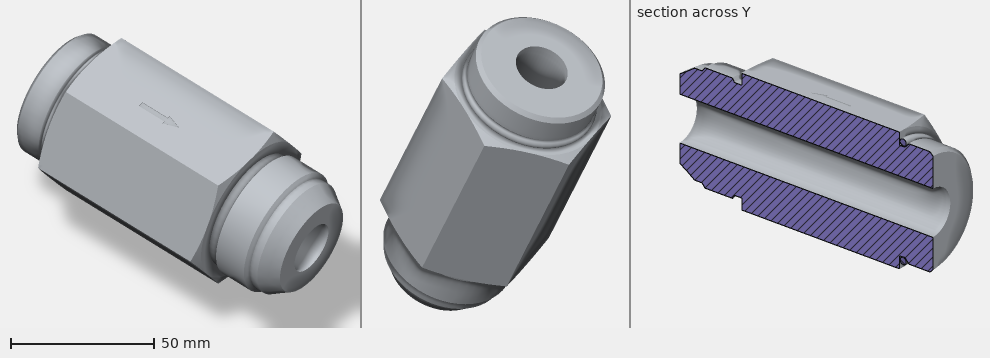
import cadquery as cq
import math

length = 113.5
port_chamfer = 1.5
port_land_end = 10.9
hex_start = 15.0
hex_end = 85.8
neck_end = 89.0
thread_start = 89.9
thread_end = 102.3
nose_start = 103.7
cone_start = 107.0

hex_flats = 53.9
hex_corners = hex_flats / math.cos(math.radians(30))
thread_diameter = 47.6
neck_diameter = 44.6
nose_diameter = 44.3
nose_tip_diameter = 35.4
bore_diameter = 19.1

hex_chamfer_diameter = 54.2
hex_chamfer_angle = 20.0

ring_section = 3.0
ring_inside_diameter = 43.7
ring_center_x = hex_start - ring_section / 2
ring_center_radius = (ring_inside_diameter + ring_section) / 2

arrow_start = 40.3
arrow_head_start = 51.7
arrow_tip = 57.6
arrow_y = -3.6
arrow_shaft_width = 2.0
arrow_head_width = 4.1
arrow_depth = 0.2

thread_radius = thread_diameter / 2
groove_radius = ring_inside_diameter / 2


def revolve_about_x(outline):
    """Revolve an (x, radius) outline a full turn about the X axis."""
    return cq.Workplane("XY").polyline(outline).close().revolve(360, (0, 0, 0), (1, 0, 0))


def make_port_end():
    """Chamfered port thread with a 45 degree wall down to the O-ring groove."""
    groove_wall_end = port_land_end + thread_radius - groove_radius
    return revolve_about_x([
        (0, 0),
        (0, thread_radius - port_chamfer),
        (port_chamfer, thread_radius),
        (port_land_end, thread_radius),
        (groove_wall_end, groove_radius),
        (hex_start, groove_radius),
        (hex_start, 0),
    ])


def make_hexagon():
    """Hexagonal body, flats up and down, with both ends turned to a chamfer."""
    prism = (
        cq.Workplane("YZ", origin=(hex_start, 0, 0))
        .polygon(6, hex_corners)
        .extrude(hex_end - hex_start)
    )
    face_radius = hex_chamfer_diameter / 2
    corner_radius = hex_corners / 2
    chamfer_length = (corner_radius - face_radius) * math.tan(math.radians(hex_chamfer_angle))
    envelope = revolve_about_x([
        (hex_start, 0),
        (hex_start, face_radius),
        (hex_start + chamfer_length, corner_radius),
        (hex_end - chamfer_length, corner_radius),
        (hex_end, face_radius),
        (hex_end, 0),
    ])
    return prism.intersect(envelope)


def make_flare_end():
    """Relieved neck, thread and nose that tapers to the flare cone."""
    neck_radius = neck_diameter / 2
    nose_radius = nose_diameter / 2
    return revolve_about_x([
        (hex_end, 0),
        (hex_end, neck_radius),
        (neck_end, neck_radius),
        (thread_start, thread_radius),
        (thread_end, thread_radius),
        (nose_start, nose_radius),
        (cone_start, nose_radius),
        (length, nose_tip_diameter / 2),
        (length, 0),
    ])


def make_flow_arrow():
    """Shallow arrow-shaped cutter that points along +X in the upper flat."""
    half_shaft = arrow_shaft_width / 2
    half_head = arrow_head_width / 2
    return (
        cq.Workplane("XY", origin=(0, arrow_y, hex_flats / 2 - arrow_depth))
        .polyline([
            (arrow_start, -half_shaft),
            (arrow_head_start, -half_shaft),
            (arrow_head_start, -half_head),
            (arrow_tip, 0),
            (arrow_head_start, half_head),
            (arrow_head_start, half_shaft),
            (arrow_start, half_shaft),
        ])
        .close()
        .extrude(arrow_depth)
    )


def make_housing():
    """Port end, engraved hexagon and flare end in one piece with a through bore."""
    bore = cq.Workplane("YZ").circle(bore_diameter / 2).extrude(length)
    outside = make_port_end().union(make_hexagon()).union(make_flare_end())
    return outside.cut(bore).cut(make_flow_arrow()).solids()


def make_o_ring():
    """Round-section seal lying in the groove beside the hexagon."""
    return cq.Workplane(
        cq.Solid.makeTorus(
            ring_center_radius,
            ring_section / 2,
            cq.Vector(ring_center_x, 0, 0),
            cq.Vector(1, 0, 0),
        )
    )


housing = make_housing()
o_ring = make_o_ring()

result = cq.Compound.makeCompound([housing.val(), o_ring.val()])